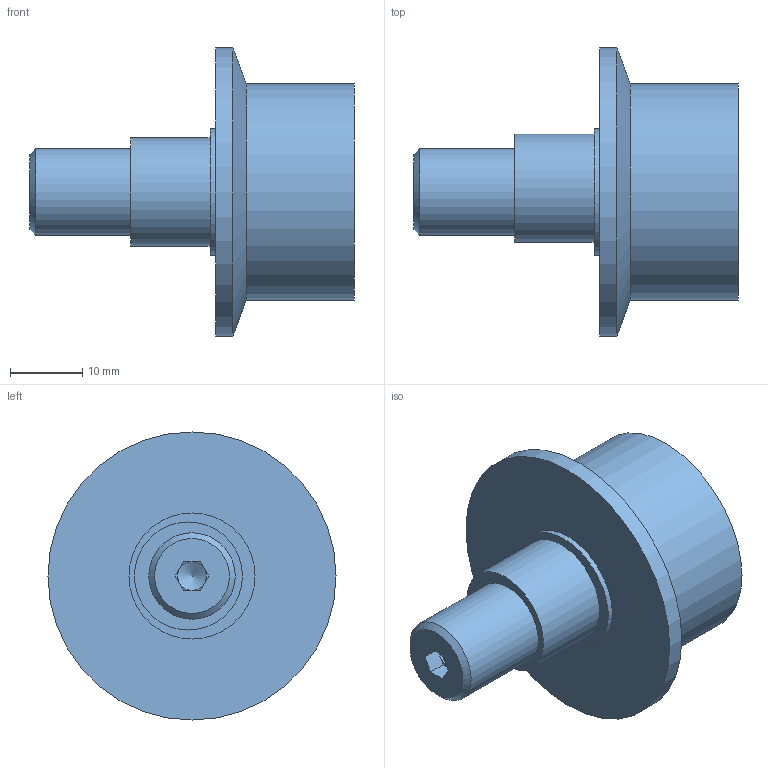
import cadquery as cq
import math

TOTAL_LENGTH = 45.0
STUD_LENGTH = 14.0
COLLAR_LENGTH = 11.0
ROLLER_WIDTH = 15.0
FLANGE_TAPER_ANGLE = 20.0
FLANGE_RIM_WIDTH = 2.38

STUD_DIAMETER = 12.0
COLLAR_DIAMETER = 15.0
WASHER_DIAMETER = 17.5
FLANGE_DIAMETER = 40.0
ROLLER_DIAMETER = 30.0

STUD_CHAMFER = 0.8
COLLAR_ECCENTRICITY = 0.5

SOCKET_ACROSS_FLATS = 4.0
SOCKET_DEPTH = 2.5
PILOT_DEPTH = 3.0
PILOT_TIP_ANGLE = 120.0

roller_start = TOTAL_LENGTH - ROLLER_WIDTH
flange_height = (FLANGE_DIAMETER - ROLLER_DIAMETER) / 2
taper_length = flange_height * math.tan(math.radians(FLANGE_TAPER_ANGLE))
taper_start = roller_start - taper_length
flange_start = taper_start - FLANGE_RIM_WIDTH
washer_start = STUD_LENGTH + COLLAR_LENGTH
socket_across_corners = SOCKET_ACROSS_FLATS / math.cos(math.radians(30))


def disc(diameter, start, end, offset_y=0.0):
    """Cylinder along X between two stations."""
    return (
        cq.Workplane("YZ", origin=(start, offset_y, 0))
        .circle(diameter / 2)
        .extrude(end - start)
    )


def make_stud():
    """Round end with a chamfered tip."""
    return disc(STUD_DIAMETER, 0, STUD_LENGTH).faces("<X").chamfer(STUD_CHAMFER)


def make_roller():
    """Running surface with a flange that tapers down to it."""
    flange_radius = FLANGE_DIAMETER / 2
    roller_radius = ROLLER_DIAMETER / 2
    return (
        cq.Workplane("XY")
        .moveTo(flange_start, 0)
        .lineTo(flange_start, flange_radius)
        .lineTo(taper_start, flange_radius)
        .lineTo(roller_start, roller_radius)
        .lineTo(TOTAL_LENGTH, roller_radius)
        .lineTo(TOTAL_LENGTH, 0)
        .close()
        .revolve(360, (0, 0, 0), (1, 0, 0))
    )


def make_socket():
    """Hexagon with corners on the Y axis, over a deeper pilot hole with a conical bottom."""
    hexagon = cq.Workplane("YZ").polygon(6, socket_across_corners).extrude(SOCKET_DEPTH)
    pilot_radius = SOCKET_ACROSS_FLATS / 2
    tip_length = pilot_radius / math.tan(math.radians(PILOT_TIP_ANGLE / 2))
    pilot_hole = (
        cq.Workplane("XY")
        .lineTo(0, pilot_radius)
        .lineTo(PILOT_DEPTH, pilot_radius)
        .lineTo(PILOT_DEPTH + tip_length, 0)
        .close()
        .revolve(360, (0, 0, 0), (1, 0, 0))
    )
    return hexagon.union(pilot_hole)


collar = disc(COLLAR_DIAMETER, STUD_LENGTH, washer_start, COLLAR_ECCENTRICITY)
washer = disc(WASHER_DIAMETER, washer_start, flange_start)

result = (
    make_stud()
    .union(collar)
    .union(washer)
    .union(make_roller())
    .cut(make_socket())
)